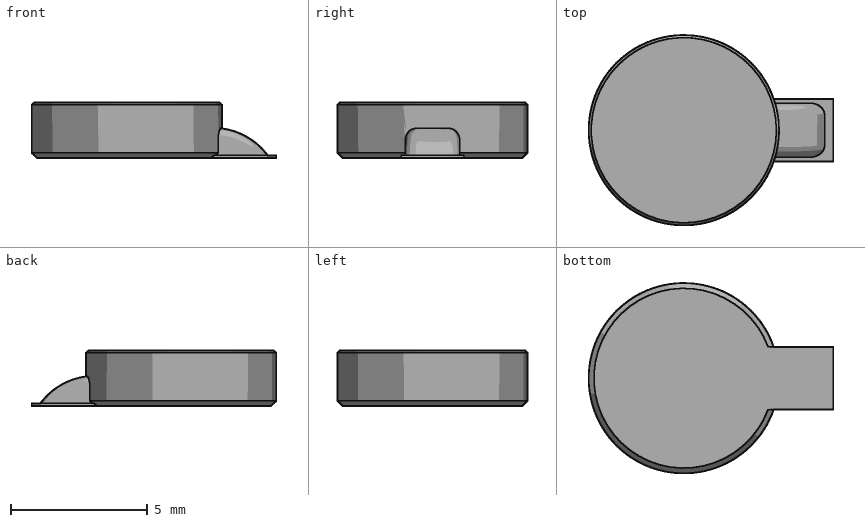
import cadquery as cq

body_diameter = 7.0
body_height = 2.05
top_chamfer = 0.1
bottom_chamfer = 0.2

overall_length = 9.0
tab_width = 2.3
tab_thickness = 0.1
tab_end_x = overall_length - body_diameter / 2

hump_width = 2.0
hump_radius = 2.475
hump_edge_radius = 0.44
hump_end_x = 5.175
hump_peak_z = 1.12
hump_axis_z = hump_peak_z - hump_radius
hump_axis_x = hump_end_x - (hump_radius**2 - (tab_thickness - hump_axis_z) ** 2) ** 0.5

root_x = body_diameter / 2 - 0.9


def block(width, height):
    """Block on the base plane, from the hidden root to the tab end."""
    length = tab_end_x - root_x
    return (
        cq.Workplane("XY")
        .box(length, width, height, centered=(False, True, False))
        .translate((root_x, 0, 0))
    )


def make_body():
    return (
        cq.Workplane("XY")
        .circle(body_diameter / 2)
        .extrude(body_height)
        .faces(">Z")
        .chamfer(top_chamfer)
        .faces("<Z")
        .chamfer(bottom_chamfer)
    )


def make_hump():
    drum = (
        cq.Workplane("XZ")
        .center(hump_axis_x, hump_axis_z)
        .circle(hump_radius)
        .extrude(hump_width / 2, both=True)
        .edges("%CIRCLE")
        .fillet(hump_edge_radius)
    )
    return drum.intersect(block(hump_width, body_height))


tab = block(tab_width, tab_thickness)
result = make_body().union(tab).union(make_hump())